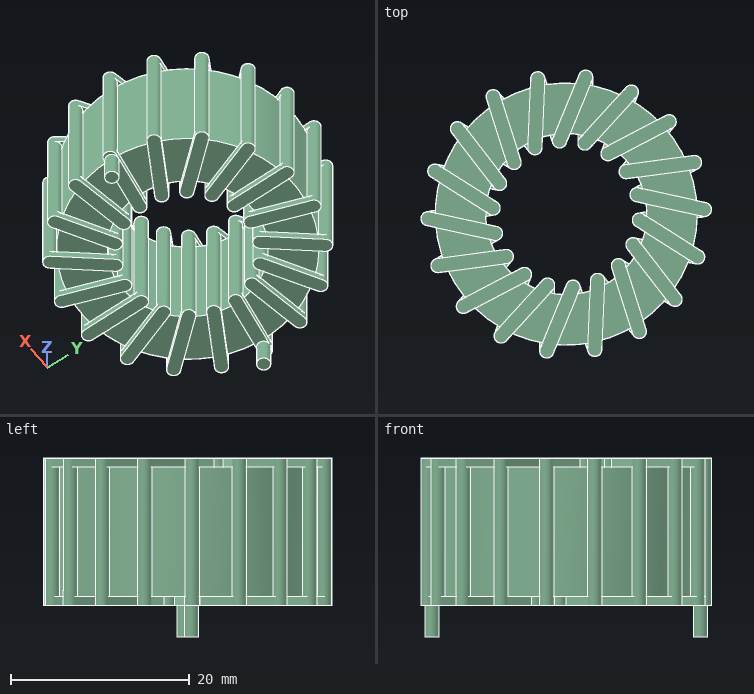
import cadquery as cq
import math

overall_length = 32.48
turn_count = 18
wire_diameter = 1.6
core_inner_radius = 9.0
core_height = 14.5
bar_height = 1.0
outer_post_angle = 1.9
inner_post_lead = 13.4
pin_length = 3.5
pin_offset_x = 15.0
pin_offset_y = 0.42

wire_radius = wire_diameter / 2
turn_angle = 360 / turn_count
outer_post_circle = (overall_length / 2 - wire_radius) / math.cos(math.radians(outer_post_angle))
core_outer_radius = outer_post_circle - wire_radius
inner_post_circle = core_inner_radius - wire_radius
core_bottom = bar_height
core_top = core_bottom + core_height
winding_height = core_top + bar_height


def polar_point(radius, angle):
    """XY point at a radius and an angle in degrees about the core axis."""
    return (radius * math.cos(math.radians(angle)), radius * math.sin(math.radians(angle)))


def outer_post_point(turn):
    return polar_point(outer_post_circle, outer_post_angle + turn * turn_angle)


def inner_post_point(turn):
    return polar_point(inner_post_circle, outer_post_angle + inner_post_lead + turn * turn_angle)


def make_rod(point, bottom, height):
    """Vertical round wire standing on the level 'bottom'."""
    return cq.Workplane("XY", origin=(*point, bottom)).circle(wire_radius).extrude(height)


def make_bar(start, end, bottom):
    """Flat bar running from one post axis to another; the posts round off its ends."""
    run_x = end[0] - start[0]
    run_y = end[1] - start[1]
    middle = ((start[0] + end[0]) / 2, (start[1] + end[1]) / 2, bottom)
    length = math.hypot(run_x, run_y)
    direction = math.degrees(math.atan2(run_y, run_x))
    plane = cq.Workplane("XY", origin=middle).transformed(rotate=(0, 0, direction))
    return plane.rect(length, wire_diameter).extrude(bar_height)


def make_core():
    """Plain ring inside the winding."""
    ring = cq.Workplane("XY", origin=(0, 0, core_bottom))
    return ring.circle(core_outer_radius).circle(core_inner_radius).extrude(core_height)


def make_winding():
    """Closed coil of posts and bars around the core, with two connection pins below it."""
    pieces = []
    for turn in range(turn_count):
        outer_point = outer_post_point(turn)
        inner_point = inner_post_point(turn)
        previous_inner_point = inner_post_point(turn - 1)
        pieces.append(make_rod(outer_point, 0, winding_height))
        pieces.append(make_rod(inner_point, 0, winding_height))
        pieces.append(make_bar(outer_point, inner_point, core_top))
        pieces.append(make_bar(outer_point, previous_inner_point, 0))

    for side in (-1, 1):
        pin_point = (side * pin_offset_x, side * pin_offset_y)
        pieces.append(make_rod(pin_point, -pin_length, pin_length + bar_height))

    winding = pieces[0].val().fuse(*[piece.val() for piece in pieces[1:]]).clean()
    return cq.Workplane(winding.Solids()[0])


core = make_core()
winding = make_winding()
result = cq.Compound.makeCompound([core.val(), winding.val()])